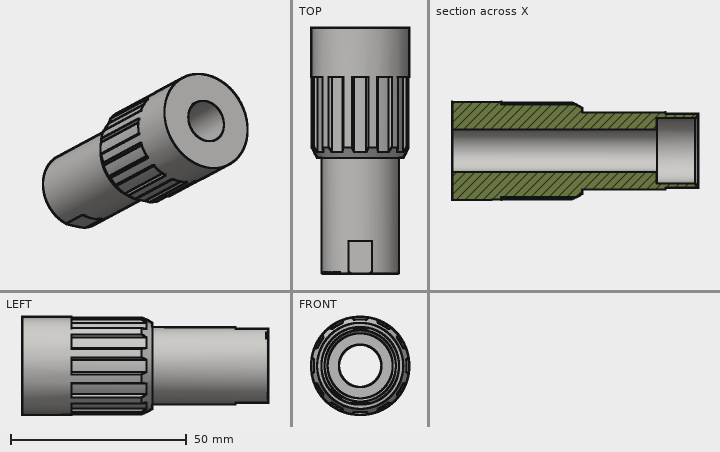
import cadquery as cq
import math

total_length = 70.0
back_end = total_length / 2
front_end = -total_length / 2

grip_radius = 14.0
plain_grip_length = 14.0
grooved_grip_length = 23.0
grip_nose_radius = 12.25
grip_nose_length = 3.0
sleeve_radius = 11.05
sleeve_edge_fillet = 0.6

bore_radius = 9.25
bore_mouth_radius = 10.15
bore_mouth_length = 0.9
bore_depth = 11.8
passage_radius = 6.0

groove_count = 12
groove_floor_radius = 13.2
groove_floor_width = 3.4
groove_wall_angle = 45.0
groove_cutter_clearance = 1.0

flat_distance = 10.55
flat_length = 9.3

groove_back = back_end - plain_grip_length
grip_front = groove_back - grooved_grip_length


def revolve_about_y(outline):
    """Revolve a closed (radius, y) outline a full turn about the Y axis."""
    profile = cq.Workplane("XY").polyline(outline).close()
    return profile.revolve(360, (0, 0, 0), (0, 1, 0))


def make_outer_body():
    outline = [
        (0, back_end),
        (grip_radius, back_end),
        (grip_radius, grip_front + grip_nose_length),
        (grip_nose_radius, grip_front),
        (sleeve_radius, grip_front),
        (sleeve_radius, front_end),
        (0, front_end),
    ]
    return revolve_about_y(outline).faces("<Y").edges().fillet(sleeve_edge_fillet)


def make_cavity():
    """Chamfered bore from the sleeve end, then a narrower passage through the rest."""
    bore_floor = front_end + bore_depth
    outline = [
        (0, front_end),
        (bore_mouth_radius, front_end),
        (bore_radius, front_end + bore_mouth_length),
        (bore_radius, bore_floor),
        (passage_radius, bore_floor),
        (passage_radius, back_end),
        (0, back_end),
    ]
    return revolve_about_y(outline)


def make_groove():
    """Cutter for the +Z groove: sloping side walls over a floor concentric with the grip."""
    floor_half_width = groove_floor_width / 2
    floor_edge_height = math.sqrt(groove_floor_radius**2 - floor_half_width**2)
    top_height = grip_radius + groove_cutter_clearance
    wall_run = (top_height - floor_edge_height) / math.tan(math.radians(groove_wall_angle))
    top_half_width = floor_half_width + wall_run
    return (
        cq.Workplane("XZ", origin=(0, groove_back, 0))
        .moveTo(-floor_half_width, floor_edge_height)
        .threePointArc((0, groove_floor_radius), (floor_half_width, floor_edge_height))
        .lineTo(top_half_width, top_height)
        .lineTo(-top_half_width, top_height)
        .close()
        .extrude(grooved_grip_length)
    )


def cut_grooves(body):
    groove = make_groove()
    for index in range(groove_count):
        angle = index * 360 / groove_count
        body = body.cut(groove.rotate((0, 0, 0), (0, 1, 0), angle))
    return body


def cut_wrench_flats(body):
    flat_depth = sleeve_radius - flat_distance
    cutter = cq.Workplane("XY").box(2 * sleeve_radius, flat_length, 2 * flat_depth)
    flat_center = front_end + flat_length / 2
    for side in (1, -1):
        body = body.cut(cutter.translate((0, flat_center, side * sleeve_radius)))
    return body


body = make_outer_body()
body = cut_grooves(body)
body = cut_wrench_flats(body)
result = body.cut(make_cavity())